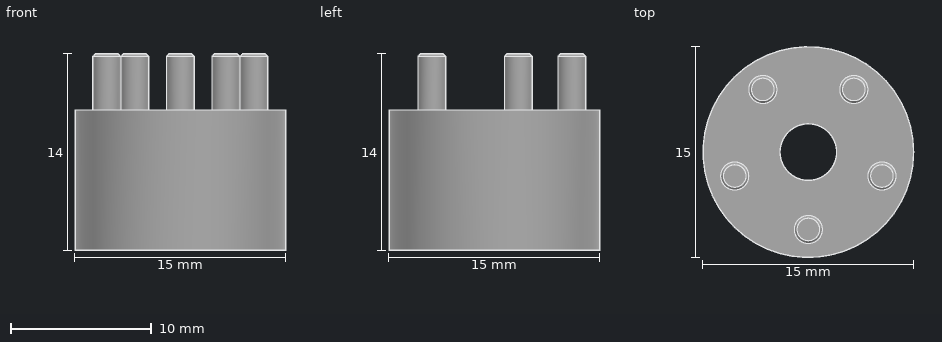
import cadquery as cq

body_diameter = 15
body_height = 10.0
bore_diameter = 4.0

total_height = 14.0
pin_count = 5
pin_diameter = 2.0
pin_circle_radius = 5.5
pin_chamfer = 0.2
first_pin_angle = -90
pin_height = total_height - body_height


def make_body():
    return (
        cq.Workplane("XY")
        .circle(body_diameter / 2)
        .circle(bore_diameter / 2)
        .extrude(body_height)
    )


def make_pins():
    return (
        cq.Workplane("XY")
        .workplane(offset=body_height)
        .polarArray(pin_circle_radius, first_pin_angle, 360, pin_count)
        .circle(pin_diameter / 2)
        .extrude(pin_height)
        .faces(">Z")
        .chamfer(pin_chamfer)
    )


result = make_body().union(make_pins())